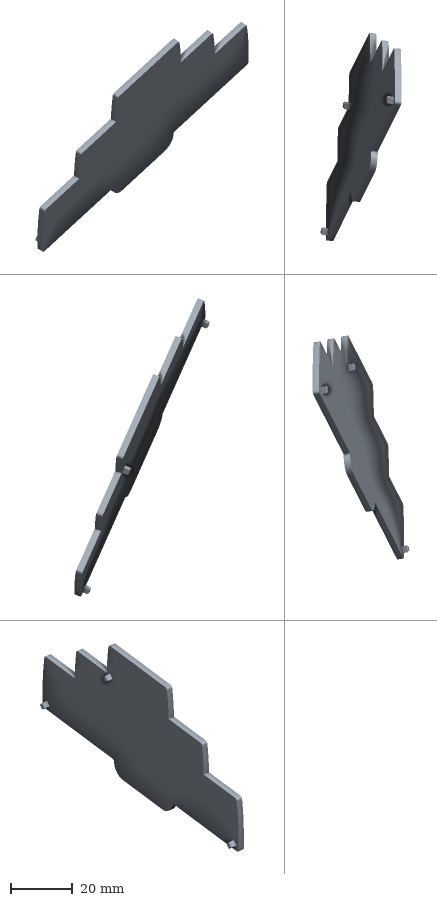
import cadquery as cq

length = 104.2
height = 49.5
plate_thickness = 2.2
pin_length = 2.2

body_bottom = 5.4
tier_rise = 11.7
top_of_tier_3 = height
top_of_tier_2 = top_of_tier_3 - tier_rise
top_of_tier_1 = top_of_tier_2 - tier_rise
tier_height = 14.8
side_radius = 104.2
corner_radius = 0.9

tiers = [
    (top_of_tier_1, -length / 2, length / 2),
    (top_of_tier_2, -33.7, 35.1),
    (top_of_tier_3, -15.0, 18.0),
]
body_top = top_of_tier_1 - tier_height

tab_y_min = -16.3
tab_y_max = 14.1
tab_radius = 4.6
tab_root_radius = 0.6

pin_diagonal = 2.7
pin_chamfer = 0.3
end_pin_y = 49.6
end_pin_z = 7.7
upper_pin_y = 16.1
upper_pin_z = 37.2
pin_positions = [
    (-end_pin_y, end_pin_z),
    (end_pin_y, end_pin_z),
    (upper_pin_y, upper_pin_z),
]


def inset(rise):
    """Inward shift of an arc side at a given rise above its vertical tangent."""
    return side_radius - (side_radius**2 - rise**2) ** 0.5


def make_tier(top_z, y_min, y_max):
    """Build a tier that narrows along arcs to two rounded upper corners."""
    base_z = top_z - tier_height
    mid_z = top_z - tier_height / 2
    top_inset = inset(tier_height)
    mid_inset = inset(tier_height / 2)
    return (
        cq.Workplane("YZ")
        .moveTo(y_min, base_z)
        .lineTo(y_max, base_z)
        .threePointArc((y_max - mid_inset, mid_z), (y_max - top_inset, top_z))
        .lineTo(y_min + top_inset, top_z)
        .threePointArc((y_min + mid_inset, mid_z), (y_min, base_z))
        .close()
        .extrude(plate_thickness)
        .edges("|X and >Z")
        .fillet(corner_radius)
    )


def make_block(y_min, y_max, z_min, z_max):
    """Build a rectangular block through the plate thickness."""
    return cq.Workplane("XY").box(
        plate_thickness, y_max - y_min, z_max - z_min, centered=False
    ).translate((0, y_min, z_min))


def make_pin(y, z):
    """Build a square pin on the -X face with a chamfered tip."""
    return (
        cq.Workplane("YZ")
        .center(y, z)
        .polygon(4, pin_diagonal)
        .extrude(-pin_length)
        .faces("<X")
        .chamfer(pin_chamfer)
    )


plate = make_block(-length / 2, length / 2, body_bottom, body_top)
plate = plate.edges("|X and <Z").fillet(corner_radius)
tab = make_block(tab_y_min, tab_y_max, 0, body_bottom)
plate = plate.union(tab.edges("|X and <Z").fillet(tab_radius))

for root_y, outward in ((tab_y_min, -1), (tab_y_max, 1)):
    root = (
        cq.Workplane("YZ")
        .moveTo(root_y, body_bottom)
        .lineTo(root_y + outward * tab_root_radius, body_bottom)
        .radiusArc((root_y, body_bottom - tab_root_radius), -outward * tab_root_radius)
        .close()
        .extrude(plate_thickness)
    )
    plate = plate.union(root)

for tier in tiers:
    plate = plate.union(make_tier(*tier))
for position in pin_positions:
    plate = plate.union(make_pin(*position))

result = plate